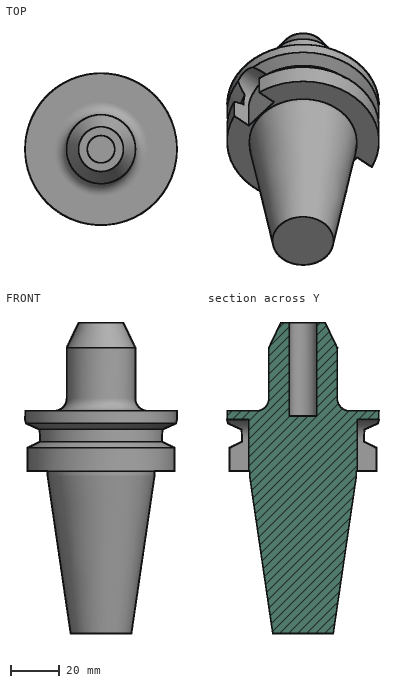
import cadquery as cq

total_height = 128.9
taper_height = 65.5
flange_bottom = 67.4
flange_top = 92.4
nose_cone_height = 10.5

taper_end_radius = 12.6
taper_diameter = 44.5
taper_radius = taper_diameter / 2
flange_diameter = 63.0
flange_radius = flange_diameter / 2
groove_radius = 26.5
nose_radius = 14.3
nose_tip_radius = 9.3
nose_fillet = 5.0

groove_center = 82.1
groove_floor_width = 5.0
groove_mouth_width = 10.0

slot_width = 16.1
slot_floor_distance = 22.5
slot_top = 88.7

bore_radius = 5.7
bore_depth = 38.7


def turned_body():
    """Revolve the half profile of taper, grooved flange and nose about Z."""
    fillet_top = flange_top + nose_fillet
    half_floor = groove_floor_width / 2
    half_mouth = groove_mouth_width / 2
    profile = (
        cq.Workplane("XZ")
        .lineTo(taper_end_radius, 0)
        .lineTo(taper_radius, taper_height)
        .lineTo(taper_radius, flange_bottom)
        .lineTo(flange_radius, flange_bottom)
        .lineTo(flange_radius, groove_center - half_mouth)
        .lineTo(groove_radius, groove_center - half_floor)
        .lineTo(groove_radius, groove_center + half_floor)
        .lineTo(flange_radius, groove_center + half_mouth)
        .lineTo(flange_radius, flange_top)
        .lineTo(nose_radius + nose_fillet, flange_top)
        .radiusArc((nose_radius, fillet_top), nose_fillet)
        .lineTo(nose_radius, total_height - nose_cone_height)
        .lineTo(nose_tip_radius, total_height)
        .lineTo(0, total_height)
        .close()
    )
    return profile.revolve(360, (0, 0, 0), (0, 1, 0))


def drive_slot(side):
    """Round-topped cutter open at the flange bottom; side is +1 or -1 along X."""
    half_width = slot_width / 2
    arc_center = slot_top - half_width
    return (
        cq.Workplane("YZ", origin=(side * slot_floor_distance, 0, 0))
        .moveTo(-half_width, flange_bottom)
        .lineTo(half_width, flange_bottom)
        .lineTo(half_width, arc_center)
        .threePointArc((0, slot_top), (-half_width, arc_center))
        .close()
        .extrude(side * flange_radius)
    )


def nose_bore():
    return (
        cq.Workplane("XY", origin=(0, 0, total_height))
        .circle(bore_radius)
        .extrude(-bore_depth)
    )


result = turned_body().cut(nose_bore())
for slot_side in (-1, 1):
    result = result.cut(drive_slot(slot_side))